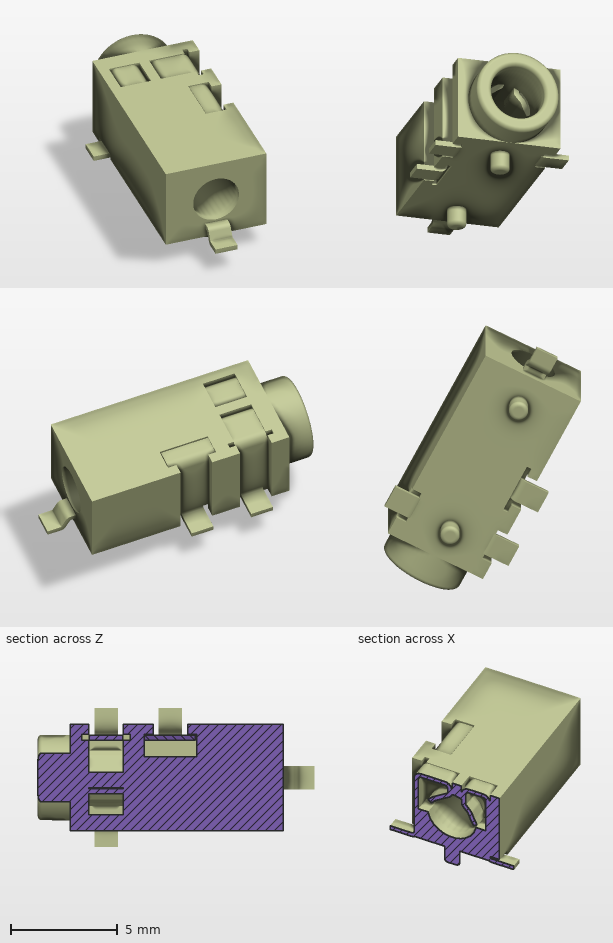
import cadquery as cq
import math


BLOCK_LENGTH = 10.0
BLOCK_WIDTH = 5.0
BLOCK_HEIGHT = 4.0
AXIS_Z = BLOCK_HEIGHT / 2
NOZZLE_LENGTH = 1.5
NOZZLE_RADIUS = AXIS_Z
BORE_FRONT_RADIUS = 1.3
BORE_BACK_RADIUS = 1.14
MOUTH_FILLET = 0.2

PEG_DIAMETER = 0.9
PEG_LENGTH = 0.9
PEG_FILLET = 0.2
PEG_XS = (1.5, 8.5)

SHEET = 0.25
LEG_WIDTH = 1.1
LEG_BEND = 0.23
STRIP_BEND = 0.27
FOOT_DROP = 0.05
FOOT_REACH = 6.5 / 2
FOOT_Z = SHEET / 2 - FOOT_DROP
RISER_FACE_Y = 2.0
RISER_Y = RISER_FACE_Y - SHEET / 2
SHOULDER_Z = FOOT_Z + LEG_BEND
STRIP_RECESS = 0.05
STRIP_Z = BLOCK_HEIGHT - STRIP_RECESS - SHEET / 2

FRONT_CONTACT_X = 1.7
SWITCH_LEG_X = 4.71
NOTCH_WIDTH = 1.6
LOW_NOTCH_HEIGHT = 0.27
STRIP_WIDTH = NOTCH_WIDTH

LEFT_WINDOW_INNER_Y = 0.0
RIGHT_WINDOW_INNER_Y = -0.49
WINDOW_FLOOR_Z = AXIS_Z - 0.22
LEFT_ARM_BEND_HEIGHT = 1.23
LEFT_ARM = ((0.96, 0.67), (1.19, 0.44))
RIGHT_ARM_BEND_HEIGHT = 0.9
RIGHT_ARM = ((-0.93, 0.54), (-1.07, 0.18), (-1.23, -0.13))
ARM_BEND = 0.15

WING_SLOT_START_X = 0.58
WING_SLOT_END_X = 2.82
WING_CLEARANCE = 0.05
WING_TOP_Z = 3.49

SWITCH_WINDOW_START_X = 3.5
SWITCH_WINDOW_END_X = 5.93
SWITCH_WINDOW_INNER_Y = 0.98
SWITCH_END_CLEARANCE = 0.05
SWITCH_EDGE_CLEARANCE = 0.04
SWITCH_WINDOW_DEPTH = STRIP_RECESS + STRIP_BEND + SHEET / 2

BACK_REACH = 1.44
BACK_UPPER_Z = 0.61
BACK_SLOPE_START_X = 0.35
BACK_SLOPE_END_X = 0.67
BACK_BEND = 0.17


def box(x_range, y_range, z_range):
    """Axis-aligned block between the given limits."""
    sizes = [max(limits) - min(limits) for limits in (x_range, y_range, z_range)]
    corner = cq.Vector(min(x_range), min(y_range), min(z_range))
    return cq.Workplane(cq.Solid.makeBox(*sizes, corner))


def span(center, width):
    """Limits of a width centred on the given place."""
    return (center - width / 2, center + width / 2)


def bent_sheet(points, bend_radius, width_direction, width):
    """Sheet of constant thickness along a planar path with rounded corners."""
    path = cq.Wire.makePolygon([cq.Vector(*point) for point in points])
    path = path.fillet(bend_radius, path.Vertices()[1:-1])
    start = cq.Plane(
        origin=points[0],
        xDir=width_direction,
        normal=(cq.Vector(*points[1]) - cq.Vector(*points[0])).toTuple(),
    )
    return cq.Workplane(start).rect(width, SHEET).sweep(cq.Workplane(path))


def make_cross_strip(center_x, width, bend_radius, path):
    """Bent sheet whose path of (Y, Z) points lies across the block."""
    points = [(center_x, y, z) for y, z in path]
    return bent_sheet(points, bend_radius, (1, 0, 0), width)


def make_leg(center_x, side):
    """Foot and riser of a side contact; side is +1 for +Y and -1 for -Y."""
    path = [(side * FOOT_REACH, FOOT_Z), (side * RISER_Y, FOOT_Z), (side * RISER_Y, AXIS_Z)]
    return make_cross_strip(center_x, LEG_WIDTH, LEG_BEND, path)


def make_front_contact(side, inner_y, arm_bend_height, arm):
    """Leg, strip under the top window and spring arm that reaches into the bore."""
    drop_y = inner_y + side * SHEET / 2
    drop_end = (drop_y, AXIS_Z + arm_bend_height)
    strip_path = [
        (side * RISER_Y, SHOULDER_Z),
        (side * RISER_Y, STRIP_Z),
        (drop_y, STRIP_Z),
        drop_end,
    ]
    arm_path = [(drop_y, STRIP_Z - STRIP_BEND), drop_end]
    arm_path += [(y, AXIS_Z + height) for y, height in arm]
    strip = make_cross_strip(FRONT_CONTACT_X, STRIP_WIDTH, STRIP_BEND, strip_path)
    spring = make_cross_strip(FRONT_CONTACT_X, STRIP_WIDTH, ARM_BEND, arm_path)
    return make_leg(FRONT_CONTACT_X, side).union(strip).union(spring)


def make_wings():
    """Wings that hold the left front contact, sunk below the top of the block."""
    return box(
        (WING_SLOT_START_X + WING_CLEARANCE, WING_SLOT_END_X),
        (RISER_FACE_Y - SHEET, RISER_FACE_Y),
        (AXIS_Z, WING_TOP_Z),
    )


def make_back_contact():
    """Stepped foot behind the block."""
    points = [
        (BLOCK_LENGTH, 0, BACK_UPPER_Z),
        (BLOCK_LENGTH + BACK_SLOPE_START_X, 0, BACK_UPPER_Z),
        (BLOCK_LENGTH + BACK_SLOPE_END_X, 0, FOOT_Z),
        (BLOCK_LENGTH + BACK_REACH, 0, FOOT_Z),
    ]
    return bent_sheet(points, BACK_BEND, (0, 1, 0), LEG_WIDTH)


def make_shell():
    """Block, nozzle and pegs before any opening is cut."""
    shell = box((0, BLOCK_LENGTH), span(0, BLOCK_WIDTH), (0, BLOCK_HEIGHT))
    nozzle = (
        cq.Workplane("YZ", origin=(0, 0, AXIS_Z))
        .circle(NOZZLE_RADIUS)
        .extrude(-NOZZLE_LENGTH)
        .faces("<X")
        .edges()
        .fillet(MOUTH_FILLET)
    )
    pegs = (
        cq.Workplane("XY")
        .pushPoints([(x, 0) for x in PEG_XS])
        .circle(PEG_DIAMETER / 2)
        .extrude(-PEG_LENGTH)
        .faces("<Z")
        .edges()
        .fillet(PEG_FILLET)
    )
    return shell.union(nozzle).union(pegs)


def make_bore():
    """Straight in the nozzle with a rounded mouth, tapering through the block."""
    arc_offset = MOUTH_FILLET * math.sqrt(0.5)
    fillet_end_x = MOUTH_FILLET - NOZZLE_LENGTH
    mouth_radius = BORE_FRONT_RADIUS + MOUTH_FILLET
    return (
        cq.Workplane("XY")
        .moveTo(-NOZZLE_LENGTH, 0)
        .lineTo(-NOZZLE_LENGTH, mouth_radius)
        .threePointArc(
            (fillet_end_x - arc_offset, mouth_radius - arc_offset),
            (fillet_end_x, BORE_FRONT_RADIUS),
        )
        .lineTo(0, BORE_FRONT_RADIUS)
        .lineTo(BLOCK_LENGTH, BORE_BACK_RADIUS)
        .lineTo(BLOCK_LENGTH, 0)
        .close()
        .revolve(360, (0, 0, 0), (1, 0, 0))
        .translate((0, 0, AXIS_Z))
    )


def cut_leg_openings(shell):
    """Full-height notches at the +Y legs and a low notch at the -Y leg."""
    wall = (RISER_FACE_Y, BLOCK_WIDTH / 2)
    for leg_x in (FRONT_CONTACT_X, SWITCH_LEG_X):
        shell = shell.cut(box(span(leg_x, NOTCH_WIDTH), wall, (0, BLOCK_HEIGHT)))
    far_wall = (-wall[0], -wall[1])
    return shell.cut(box(span(FRONT_CONTACT_X, NOTCH_WIDTH), far_wall, (0, LOW_NOTCH_HEIGHT)))


def cut_front_windows(shell):
    """Two windows from the top into the bore, and the slots for the wings."""
    window_x = span(FRONT_CONTACT_X, NOTCH_WIDTH)
    depth = (WINDOW_FLOOR_Z, BLOCK_HEIGHT)
    left_window = box(window_x, (LEFT_WINDOW_INNER_Y, RISER_FACE_Y), depth)
    right_window = box(window_x, (-RISER_FACE_Y, RIGHT_WINDOW_INNER_Y), depth)
    wing_slot = box(
        (WING_SLOT_START_X, WING_SLOT_END_X),
        (RISER_FACE_Y - SHEET, RISER_FACE_Y),
        depth,
    )
    return shell.cut(left_window).cut(right_window).cut(wing_slot)


def cut_switch_seat(shell):
    """Shallow window for the strip of the switch contact and an upright slot for its riser."""
    window_x = (SWITCH_WINDOW_START_X, SWITCH_WINDOW_END_X)
    window = box(
        window_x,
        (SWITCH_WINDOW_INNER_Y, RISER_FACE_Y),
        (BLOCK_HEIGHT - SWITCH_WINDOW_DEPTH, BLOCK_HEIGHT),
    )
    riser_slot = box(window_x, (RISER_FACE_Y - SHEET, RISER_FACE_Y), (0, BLOCK_HEIGHT))
    return shell.cut(window).cut(riser_slot)


def make_housing():
    """Moulded housing with the two front contacts and the back contact fixed in it."""
    housing = make_shell().cut(make_bore())
    housing = cut_leg_openings(housing)
    housing = cut_front_windows(housing)
    housing = cut_switch_seat(housing)
    left_contact = make_front_contact(1, LEFT_WINDOW_INNER_Y, LEFT_ARM_BEND_HEIGHT, LEFT_ARM)
    right_contact = make_front_contact(-1, RIGHT_WINDOW_INNER_Y, RIGHT_ARM_BEND_HEIGHT, RIGHT_ARM)
    housing = housing.union(left_contact).union(right_contact)
    return housing.union(make_wings()).union(make_back_contact())


def make_switch_contact():
    """Loose contact: leg, wide riser and a strip bent over the top."""
    strip_start_x = SWITCH_WINDOW_START_X
    strip_end_x = SWITCH_WINDOW_END_X - SWITCH_END_CLEARANCE
    path = [
        (RISER_Y, SHOULDER_Z),
        (RISER_Y, STRIP_Z),
        (SWITCH_WINDOW_INNER_Y + SWITCH_EDGE_CLEARANCE, STRIP_Z),
    ]
    center_x = (strip_start_x + strip_end_x) / 2
    strip = make_cross_strip(center_x, strip_end_x - strip_start_x, STRIP_BEND, path)
    return make_leg(SWITCH_LEG_X, 1).union(strip)


housing = make_housing()
switch_contact = make_switch_contact()
result = cq.Compound.makeCompound([housing.solids().val(), switch_contact.solids().val()])